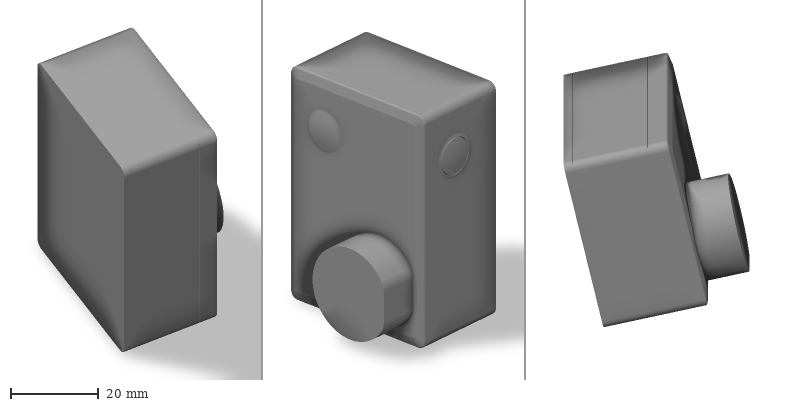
import cadquery as cq
width = 41.05
depth = 24.9
height = 59.0
corner_radius = 2.0

bevel_width = 2.5
bevel_drop = 0.7
bevel_fillet = 0.5
face_corner_radius = 0.55

lens_x = 13.35
lens_z = 13.75
lens_radius = 11.5
lens_length = 9.8
lens_flat_offset = 10.3
lens_flat_fillet = 4.15

side_button_y = 14.1
side_button_z = 45.65
side_dome_diameter = 11.0
side_dome_rise = 0.65
side_hole_diameter = 9.4
side_button_diameter = 9.0
side_button_depth = 0.5

front_dome_x = 30.0
front_dome_z = 46.0
front_dome_diameter = 10.4
front_dome_rise = 0.9

indicator_y = 20.0
indicator_z = 52.85
indicator_diameter = 2.0
indicator_depth = 0.5

groove_positions = (2.1, 19.5)
groove_width = 0.1
groove_depth = 0.5

side_button_plane = cq.Plane(origin=(0, side_button_y, side_button_z), xDir=(0, -1, 0), normal=(-1, 0, 0))
indicator_plane = cq.Plane(origin=(0, indicator_y, indicator_z), xDir=(0, -1, 0), normal=(-1, 0, 0))
front_dome_plane = cq.Plane(origin=(front_dome_x, depth, front_dome_z), xDir=(-1, 0, 0), normal=(0, 1, 0))


def make_cylinder(plane, diameter, bottom, top):
    """Cylinder along the plane's normal, between two offsets from the plane."""
    return cq.Workplane(plane).workplane(offset=bottom).circle(diameter / 2).extrude(top - bottom)


def make_ball(plane, dome_diameter, rise):
    """Sphere that stands out of the plane as a cap of the given diameter and rise."""
    ball_radius = ((dome_diameter / 2) ** 2 + rise**2) / (2 * rise)
    return cq.Workplane(plane).workplane(offset=rise - ball_radius).sphere(ball_radius)


def make_dome(plane, dome_diameter, rise):
    return make_cylinder(plane, dome_diameter, 0, rise).intersect(make_ball(plane, dome_diameter, rise))


def rounded_outline(inset, radius):
    """Housing outline drawn in by the inset, with the given corner radius."""
    return cq.Sketch().rect(width - 2 * inset, height - 2 * inset).vertices().fillet(radius)


def make_shell():
    """Box with rounded corners and a shallow bevel round its +Y face."""
    bevel_start = depth - bevel_drop
    back = cq.Workplane("XZ", origin=(width / 2, 0, height / 2))
    rim_outline = rounded_outline(0, corner_radius)
    face_outline = rounded_outline(bevel_width, face_corner_radius)
    base = back.placeSketch(rim_outline).extrude(-bevel_start)
    bevel = back.placeSketch(
        rim_outline.moved(cq.Location(cq.Vector(0, 0, -bevel_start))),
        face_outline.moved(cq.Location(cq.Vector(0, 0, -depth))),
    ).loft(ruled=True)

    margin = 0.05
    rim = cq.selectors.BoxSelector(
        (-margin, bevel_start - margin, -margin),
        (width + margin, bevel_start + margin, height + margin),
        boundingbox=True,
    )
    return base.union(bevel).edges(rim).fillet(bevel_fillet)


def make_lens():
    """Barrel on the +Y face, with both edges of its flat rounded into the cylinder."""
    base = cq.Workplane("XZ", origin=(lens_x, depth, lens_z))
    barrel = base.circle(lens_radius).extrude(-lens_length)
    flat_cut = (
        base.center(-lens_flat_offset - lens_radius, 0)
        .rect(2 * lens_radius, 2 * lens_radius)
        .extrude(-lens_length)
    )
    return barrel.cut(flat_cut).faces("<X").edges("|Y").fillet(lens_flat_fillet)


def make_indicator():
    return make_cylinder(indicator_plane, indicator_diameter, -indicator_depth, 0)


def make_groove(y):
    groove = cq.Workplane("XY").box(groove_depth, groove_width, height, centered=(False, True, False))
    return groove.translate((width - groove_depth, y, 0))


def make_housing():
    housing = make_shell().union(make_lens())
    housing = housing.union(make_dome(front_dome_plane, front_dome_diameter, front_dome_rise))
    housing = housing.union(make_dome(side_button_plane, side_dome_diameter, side_dome_rise))
    button_hole = make_cylinder(side_button_plane, side_hole_diameter, -side_button_depth, side_dome_rise)
    housing = housing.cut(button_hole).cut(make_indicator())
    for y in groove_positions:
        housing = housing.cut(make_groove(y))
    return housing


def make_side_button():
    """Button that stands on the floor of its hole and continues the dome of the rim."""
    stem = make_cylinder(side_button_plane, side_button_diameter, -side_button_depth, side_dome_rise)
    return stem.intersect(make_ball(side_button_plane, side_dome_diameter, side_dome_rise))


housing = make_housing()
side_button = make_side_button()
indicator = make_indicator()

result = cq.Compound.makeCompound([housing.solids().val(), side_button.solids().val(), indicator.val()])